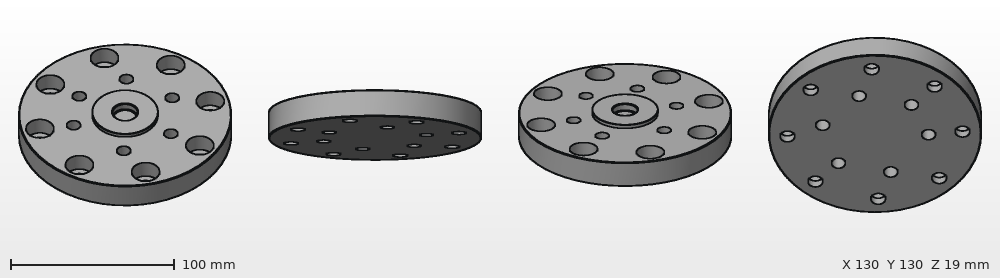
import cadquery as cq

disc_diameter = 130.0
disc_thickness = 16.5
disc_chamfer = 0.5

boss_diameter = 40.3
boss_height = 2.5
boss_chamfer = 0.3

bore_diameter = 15.1
bore_depth = 5.0
bore_chamfer = 0.5

bolt_count = 8
bolt_circle_diameter = 107.0
bolt_hole_diameter = 9.0
counterbore_diameter = 17.0
counterbore_depth = 11.0

pin_circle_diameter = 65.5
pin_hole_diameter = 8.5
pin_spacing = 60
key_shift = -12
pin_angles = [0, pin_spacing, 2 * pin_spacing, 3 * pin_spacing,
              4 * pin_spacing + key_shift, 5 * pin_spacing]

boss_top = disc_thickness + boss_height


def make_body():
    disc = (
        cq.Workplane("XY")
        .circle(disc_diameter / 2)
        .extrude(disc_thickness)
        .faces("<Z or >Z")
        .edges()
        .chamfer(disc_chamfer)
    )
    boss = (
        cq.Workplane("XY")
        .circle(boss_diameter / 2)
        .extrude(boss_top)
        .faces(">Z")
        .edges()
        .chamfer(boss_chamfer)
    )
    return disc.union(boss)


def make_bore_cutter():
    """Half profile of the bore, revolved about Z."""
    radius = bore_diameter / 2
    floor = boss_top - bore_depth
    return (
        cq.Workplane("XZ")
        .moveTo(0, floor)
        .lineTo(radius - bore_chamfer, floor)
        .lineTo(radius, floor + bore_chamfer)
        .lineTo(radius, boss_top - bore_chamfer)
        .lineTo(radius + bore_chamfer, boss_top)
        .lineTo(0, boss_top)
        .close()
        .revolve(360, (0, 0, 0), (0, 1, 0))
    )


def place_on_circle(tool, circle_diameter, angle):
    return tool.translate((circle_diameter / 2, 0, 0)).rotate((0, 0, 0), (0, 0, 1), angle)


def cut_bolt_holes(body):
    through_hole = cq.Workplane("XY").circle(bolt_hole_diameter / 2).extrude(disc_thickness)
    counterbore = (
        cq.Workplane("XY")
        .workplane(offset=disc_thickness - counterbore_depth)
        .circle(counterbore_diameter / 2)
        .extrude(counterbore_depth)
    )
    cutter = through_hole.union(counterbore)
    for index in range(bolt_count):
        body = body.cut(place_on_circle(cutter, bolt_circle_diameter, index * 360 / bolt_count))
    return body


def cut_pin_holes(body):
    cutter = cq.Workplane("XY").circle(pin_hole_diameter / 2).extrude(disc_thickness)
    for angle in pin_angles:
        body = body.cut(place_on_circle(cutter, pin_circle_diameter, angle))
    return body


result = cut_pin_holes(cut_bolt_holes(make_body().cut(make_bore_cutter())))